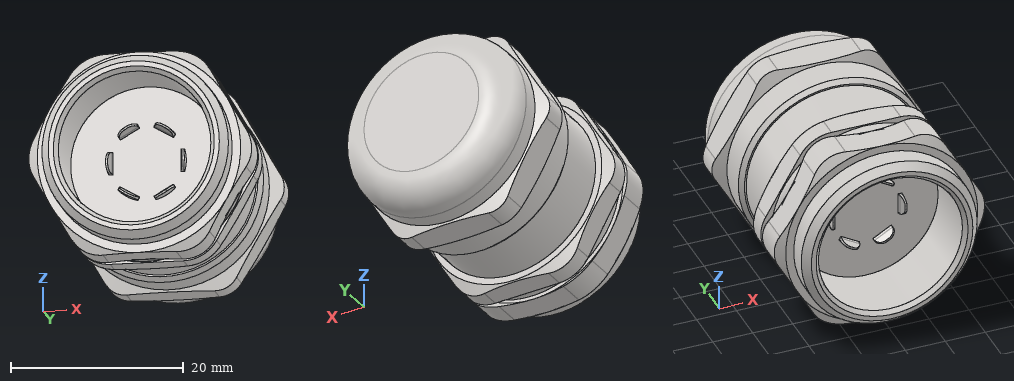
import cadquery as cq
import math

LENGTH = 31.88
HEX_SIDES = 6
ACROSS_FLATS = 24.0
FLAT_RADIUS = ACROSS_FLATS / 2
HEX_CORNER_RADIUS = FLAT_RADIUS / math.cos(math.pi / HEX_SIDES)

HEX_BEVEL_ANGLE = 30.0
HEX_EDGE_ROUND = 4.5

BODY_RADIUS = 22.0 / 2
BODY_CHAMFER = 0.9
BORE_RADIUS = 18.0 / 2
BORE_CHAMFER = 0.5
BORE_DEPTH = 8.0

NUT_START = 3.2
NUT_RIM_END = 6.5
NUT_HOLLOW_ANGLE = 40.0

SEAL_SECTION_RADIUS = 1.0
SEAL_CENTRE_RADIUS = FLAT_RADIUS - SEAL_SECTION_RADIUS
SEAL_CENTRE_Y = NUT_RIM_END + SEAL_SECTION_RADIUS

FLANGE_START = 8.0
FLANGE_END = 11.0
FLANGE_FACE_RADIUS = 11.85

CAP_START = 17.85
CAP_RADIUS = 23.5 / 2
CAP_CHAMFER = 0.55
DOME_RADIUS = 4.0
CAP_HEX_START = 21.9
CAP_HEX_END = 25.9
CAP_BEVEL_ANGLE = 20.0
CAP_EDGE_ROUND = 3.0

FINGER_COUNT = 6
FINGER_WIDTH = 2.65
FINGER_HEIGHT = 1.2
FINGER_CORNER_ROUND = 1.1
FINGER_BASE_RADIUS = 4.0
FINGER_FOLD_RADIUS = 4.08
FINGER_FOLD_HEIGHT = 0.35
FINGER_TIP_RADIUS = 4.4
FINGER_OUTER_RADIUS = 4.65
FINGER_ROOT = 0.5


def revolve(points):
    """Solid of revolution about Y from (radius, y) points."""
    return cq.Workplane("XY").polyline(points).close().revolve(360, (0, 0, 0), (0, 1, 0))


def cylinder(radius, start, end):
    """Cylinder along Y between two stations."""
    return revolve([(0, start), (radius, start), (radius, end), (0, end)])


def rise(angle, inner_radius):
    """Axial change of a cone between the given radius and the sharp hexagon corners."""
    return (HEX_CORNER_RADIUS - inner_radius) * math.tan(math.radians(angle))


def hexagon(start, end, edge_round):
    """Hexagonal prism along Y with flats facing +Z and -Z and rounded corner edges."""
    prism = cq.Workplane("XZ").polygon(HEX_SIDES, 2 * HEX_CORNER_RADIUS).extrude(start - end)
    return prism.edges("|Y").fillet(edge_round).translate((0, start, 0))


def make_body():
    return cylinder(BODY_RADIUS, 0, CAP_START).faces("<Y").chamfer(BODY_CHAMFER)


def make_locknut():
    corner_start = NUT_START + rise(HEX_BEVEL_ANGLE, FLAT_RADIUS)
    corner_end = NUT_RIM_END + rise(NUT_HOLLOW_ANGLE, FLAT_RADIUS)
    envelope = revolve([
        (0, NUT_START),
        (FLAT_RADIUS, NUT_START),
        (HEX_CORNER_RADIUS, corner_start),
        (HEX_CORNER_RADIUS, corner_end),
        (FLAT_RADIUS, NUT_RIM_END),
        (0, NUT_RIM_END),
    ])
    return hexagon(NUT_START, corner_end, HEX_EDGE_ROUND).intersect(envelope)


def make_seal_ring():
    """Round ring resting on the locknut, flattened where it meets the flange."""
    squeeze = FLANGE_START - SEAL_CENTRE_Y
    half_contact = math.sqrt(SEAL_SECTION_RADIUS ** 2 - squeeze ** 2)
    section = (
        cq.Workplane("XY")
        .moveTo(SEAL_CENTRE_RADIUS - half_contact, FLANGE_START)
        .threePointArc(
            (SEAL_CENTRE_RADIUS, SEAL_CENTRE_Y - SEAL_SECTION_RADIUS),
            (SEAL_CENTRE_RADIUS + half_contact, FLANGE_START),
        )
        .close()
    )
    return section.revolve(360, (0, 0, 0), (0, 1, 0))


def make_flange():
    corner_end = FLANGE_END - rise(HEX_BEVEL_ANGLE, FLANGE_FACE_RADIUS)
    envelope = revolve([
        (0, FLANGE_START),
        (HEX_CORNER_RADIUS, FLANGE_START),
        (HEX_CORNER_RADIUS, corner_end),
        (FLANGE_FACE_RADIUS, FLANGE_END),
        (0, FLANGE_END),
    ])
    return hexagon(FLANGE_START, FLANGE_END, HEX_EDGE_ROUND).intersect(envelope)


def make_cap():
    shell = cylinder(CAP_RADIUS, CAP_START, LENGTH)
    shell = shell.faces("<Y").chamfer(CAP_CHAMFER).faces(">Y").edges().fillet(DOME_RADIUS)
    bevel_rise = rise(CAP_BEVEL_ANGLE, CAP_RADIUS)
    envelope = revolve([
        (0, CAP_HEX_START),
        (CAP_RADIUS, CAP_HEX_START),
        (HEX_CORNER_RADIUS, CAP_HEX_START + bevel_rise),
        (HEX_CORNER_RADIUS, CAP_HEX_END - bevel_rise),
        (CAP_RADIUS, CAP_HEX_END),
        (0, CAP_HEX_END),
    ])
    grip = hexagon(CAP_HEX_START, CAP_HEX_END, CAP_EDGE_ROUND).intersect(envelope)
    return shell.union(grip)


def make_bore():
    mouth_radius = BORE_RADIUS + BORE_CHAMFER
    return revolve([
        (0, 0),
        (mouth_radius, 0),
        (BORE_RADIUS, BORE_CHAMFER),
        (BORE_RADIUS, BORE_DEPTH),
        (0, BORE_DEPTH),
    ])


def make_finger():
    """Finger tip on the +X side: folded inner face, round outer face, rounded tip corners."""
    tip_y = BORE_DEPTH - FINGER_HEIGHT
    root_y = BORE_DEPTH + FINGER_ROOT
    profile = [
        (FINGER_BASE_RADIUS, root_y),
        (FINGER_BASE_RADIUS, BORE_DEPTH),
        (FINGER_FOLD_RADIUS, BORE_DEPTH - FINGER_FOLD_HEIGHT),
        (FINGER_TIP_RADIUS, tip_y),
        (FINGER_OUTER_RADIUS, tip_y),
        (FINGER_OUTER_RADIUS, root_y),
    ]
    blade = cq.Workplane("XY").polyline(profile).close().extrude(FINGER_WIDTH / 2, both=True)
    outline = cq.Workplane("XY").box(
        FINGER_OUTER_RADIUS, root_y - tip_y, FINGER_WIDTH, centered=(False, False, True)
    )
    outline = outline.edges("|X and <Y").fillet(FINGER_CORNER_ROUND).translate((0, tip_y, 0))
    return blade.intersect(outline).intersect(cylinder(FINGER_OUTER_RADIUS, tip_y, root_y))


result = make_body()
for section in (make_locknut(), make_seal_ring(), make_flange(), make_cap()):
    result = result.union(section)
result = result.cut(make_bore())

finger = make_finger()
for index in range(FINGER_COUNT):
    angle = index * 360 / FINGER_COUNT
    result = result.union(finger.rotate((0, 0, 0), (0, 1, 0), angle))